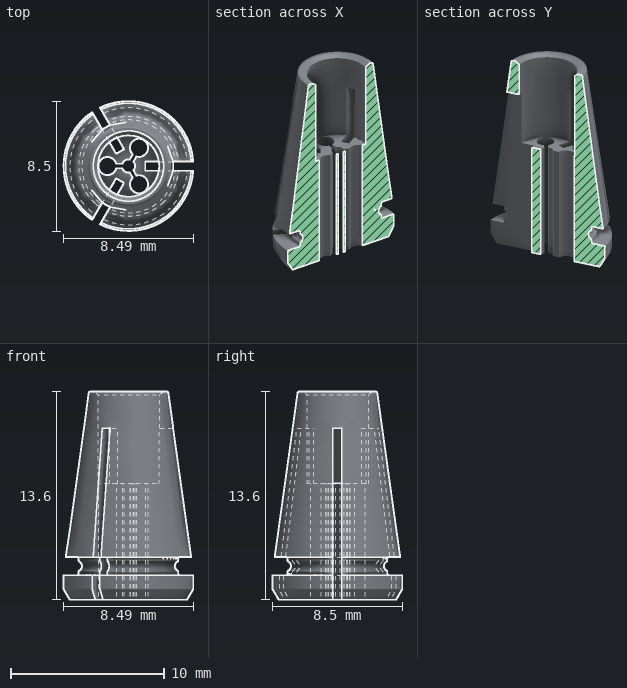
import cadquery as cq
import math

height = 13.6
flange_radius = 4.25
flange_foot_radius = 3.84
flange_chamfer_top = 0.7
flange_top = 1.6
cone_bottom = 2.79
cone_bottom_radius = 4.11
cone_top_radius = 2.6
rim_fillet = 0.16
flange_edge_fillet = 0.14

neck_radius = 3.26
groove_root_radius = 3.05
neck_corner_fillet = 0.1
groove_edge_fillet = 0.1
neck_land = 0.27
groove_middle = (flange_top + cone_bottom) / 2

bore_radius = 4.0 / 2
bore_floor = 7.62
bore_mouth_radius = 2.3
bore_mouth_depth = 0.2

segments = 3
segment_angle = 360 / segments
center_hole_radius = 0.42
relief_hole_radius = 0.58
relief_hole_distance = 1.37
link_slot_width = 0.27
outer_slot_width = 0.58
outer_slot_start = 1.1
outer_slot_top = 11.2


def ring_at(radius, z, tolerance=0.001):
    """Selector for the circular edge of the given radius at height z."""
    reach = radius + tolerance
    return cq.selectors.BoxSelector(
        (-reach, -reach, z - tolerance), (reach, reach, z + tolerance), boundingbox=True
    )


def make_body():
    """Revolve the outer half profile about Z."""
    profile = (
        cq.Workplane("XZ")
        .moveTo(0, 0)
        .lineTo(flange_foot_radius, 0)
        .lineTo(flange_radius, flange_chamfer_top)
        .lineTo(flange_radius, flange_top)
        .lineTo(neck_radius, flange_top)
        .lineTo(neck_radius, flange_top + neck_land)
        .threePointArc((groove_root_radius, groove_middle), (neck_radius, cone_bottom - neck_land))
        .lineTo(neck_radius, cone_bottom)
        .lineTo(cone_bottom_radius, cone_bottom)
        .lineTo(cone_top_radius, height)
        .lineTo(0, height)
        .close()
    )
    body = profile.revolve(360, (0, 0, 0), (0, 1, 0))
    body = body.faces(">Z").edges().fillet(rim_fillet)
    body = body.edges(ring_at(flange_radius, flange_chamfer_top)).fillet(flange_edge_fillet)
    for z in (flange_top + neck_land, cone_bottom - neck_land):
        body = body.edges(ring_at(neck_radius, z)).fillet(groove_edge_fillet)
    for z in (flange_top, cone_bottom):
        body = body.edges(ring_at(neck_radius, z)).fillet(neck_corner_fillet)
    return body


def make_bore():
    """Blind bore with a conical mouth."""
    profile = (
        cq.Workplane("XZ")
        .moveTo(0, bore_floor)
        .lineTo(bore_radius, bore_floor)
        .lineTo(bore_radius, height - bore_mouth_depth)
        .lineTo(bore_mouth_radius, height)
        .lineTo(0, height)
        .close()
    )
    return profile.revolve(360, (0, 0, 0), (0, 1, 0))


def radial_slot(start, end, width, top, angle):
    """Slot from the bottom face to `top`, running outward at `angle`."""
    slot = cq.Workplane("XY").box(end - start, width, top, centered=(False, True, False))
    return slot.translate((start, 0, 0)).rotate((0, 0, 0), (0, 0, 1), angle)


def relief_hole(angle):
    """Through hole with the narrow slot that links it to the center hole."""
    x = relief_hole_distance * math.cos(math.radians(angle))
    y = relief_hole_distance * math.sin(math.radians(angle))
    hole = cq.Workplane("XY").center(x, y).circle(relief_hole_radius).extrude(bore_floor)
    return hole.union(radial_slot(0, relief_hole_distance, link_slot_width, bore_floor, angle))


result = make_body().cut(make_bore())
result = result.cut(cq.Workplane("XY").circle(center_hole_radius).extrude(bore_floor))
for index in range(segments):
    slot_angle = index * segment_angle
    result = result.cut(
        radial_slot(outer_slot_start, flange_radius, outer_slot_width, outer_slot_top, slot_angle)
    )
    result = result.cut(relief_hole(slot_angle + segment_angle / 2))